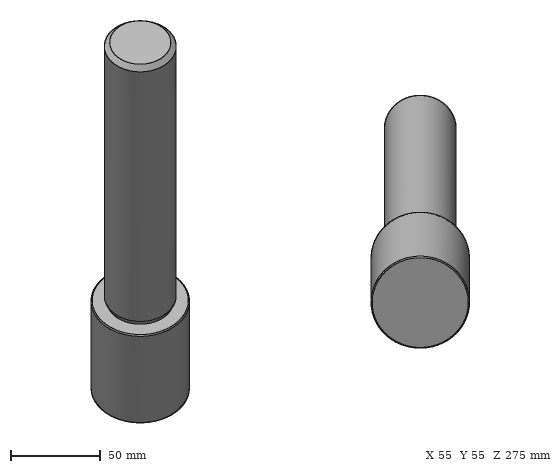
import cadquery as cq

total_length = 275.0

head_diameter = 55.0
head_length = 70.0
head_edge_chamfer = 0.7

shank_diameter = 40.2
shank_chamfer = 3.0
groove_diameter = 37.5
groove_width = 3.5

head = cq.Workplane("XY").circle(head_diameter / 2).extrude(head_length)
head = head.faces("<Z or >Z").chamfer(head_edge_chamfer)

neck = (
    cq.Workplane("XY")
    .workplane(offset=head_length)
    .circle(groove_diameter / 2)
    .extrude(groove_width)
)

shank_start = head_length + groove_width
shank = (
    cq.Workplane("XY")
    .workplane(offset=shank_start)
    .circle(shank_diameter / 2)
    .extrude(total_length - shank_start)
)
shank = shank.faces(">Z").chamfer(shank_chamfer)

result = head.union(neck).union(shank)